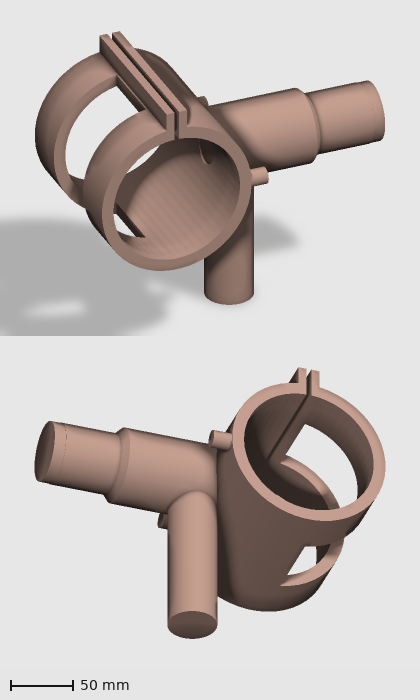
import cadquery as cq


ring_length = 138.0
ring_outer_diameter = 130.0
ring_outer_radius = ring_outer_diameter / 2
ring_bore_diameter = 110.0
ring_bore_radius = ring_bore_diameter / 2

lug_top = 79.7
lug_pair_width = 17.7
lug_gap = 4.0

window_width = 59.9
window_edge_y = -10.3

pin_diameter = 14.0
pin_projection = 15.0
pin_offset_x = 61.5

overall_length = 265.0
boom_end_y = overall_length - ring_outer_radius
boom_diameter = 62.0
neck_diameter = 50.3
tip_diameter = 49.5
tip_length = 9.5
neck_start_y = 144.0
shoulder_length = (boom_diameter - neck_diameter) / 2
spigot_diameter = 30.0

branch_diameter = 40.0
branch_y = 74.7
branch_bottom = -139.5


def x_cylinder(radius):
    """Cylinder on the ring axis, as long as the ring."""
    return cq.Workplane("YZ", origin=(-ring_length / 2, 0, 0)).circle(radius).extrude(ring_length)


def y_cylinder(diameter, start_y, end_y, x=0):
    """Cylinder parallel to Y, at height zero."""
    length = end_y - start_y
    return cq.Workplane("XZ", origin=(x, start_y, 0)).circle(diameter / 2).extrude(-length)


def make_spigot():
    """Plug through the ring wall, with a flat end at the depth of the bore."""
    return y_cylinder(spigot_diameter, ring_bore_radius, boom_end_y)


def make_clamp():
    """Split ring with lugs, window, side pins and a hole for the boom spigot."""
    lugs = cq.Workplane("XY").box(ring_length, lug_pair_width, lug_top, centered=(True, True, False))
    clamp = x_cylinder(ring_outer_radius).union(lugs)

    for x in (-pin_offset_x, pin_offset_x):
        pin = y_cylinder(pin_diameter, ring_bore_radius, ring_outer_radius + pin_projection, x)
        clamp = clamp.union(pin)
    clamp = clamp.cut(x_cylinder(ring_bore_radius))

    split = cq.Workplane("XY").box(ring_length, lug_gap, lug_top, centered=(True, True, False))
    window = (
        cq.Workplane("XY", origin=(0, window_edge_y - ring_outer_radius / 2, 0))
        .box(window_width, ring_outer_radius, 2 * ring_outer_radius)
    )
    spigot_hole = y_cylinder(spigot_diameter, 0, boom_end_y)
    return clamp.cut(split).cut(window).cut(spigot_hole)


def make_boom():
    """Stepped boom with its branch post, saddled on the ring and plugged into it."""
    shoulder_y = neck_start_y - shoulder_length
    tip_y = boom_end_y - tip_length
    boom = (
        cq.Workplane("XY")
        .lineTo(boom_diameter / 2, 0)
        .lineTo(boom_diameter / 2, shoulder_y)
        .lineTo(neck_diameter / 2, neck_start_y)
        .lineTo(neck_diameter / 2, tip_y)
        .lineTo(tip_diameter / 2, tip_y)
        .lineTo(tip_diameter / 2, boom_end_y)
        .lineTo(0, boom_end_y)
        .close()
        .revolve(360, (0, 0, 0), (0, 1, 0))
    )
    branch = (
        cq.Workplane("XY", origin=(0, branch_y, branch_bottom))
        .circle(branch_diameter / 2)
        .extrude(-branch_bottom)
    )
    saddled = boom.union(branch).cut(x_cylinder(ring_outer_radius))
    return saddled.union(make_spigot())


clamp = make_clamp()
boom = make_boom()

result = cq.Compound.makeCompound([clamp.solids().val(), boom.solids().val()])